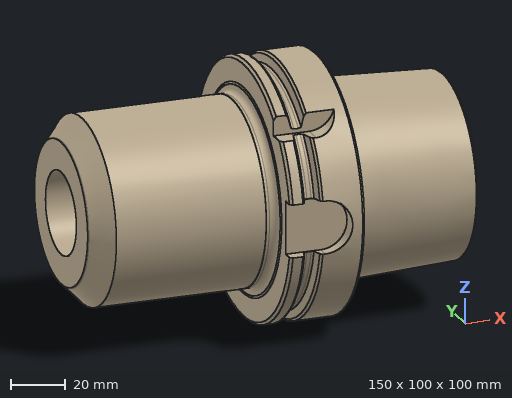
import cadquery as cq
import math

total_length = 150.0
body_radius = 36.0
nose_face_radius = 27.9
nose_cone_length = 8.1
nose_edge_chamfer = 0.3

neck_radius = 35.92
neck_start = 66.8
neck_fillet = 3.0
collar_radius = 40.0
collar_height = 0.3
collar_chamfer = 0.9

flange_radius = 100.0 / 2
flange_start = 71.2
flange_end = 100.2
flange_chamfer = 1.0

groove_center = 80.1
groove_floor_radius = 45.8
groove_floor_width = 1.6
groove_mid_radius = 46.0
groove_mid_width = 3.9
groove_lip_width = 6.0
groove_lip_chamfer = 0.9

taper_start_radius = 38.0
taper_end_radius = 35.5
taper_end_chamfer = 0.9

bore_diameter = 32.0
bore_depth = 75.0

slot_end = 95.2
slot_floor = 44.1
front_slot_width = 20.5
back_slot_width = 22.2
cutter_radius = 10.0
notch_offset = 31.5


def turned_body():
    collar_start = flange_start - collar_height
    fillet_center = (collar_start - neck_fillet, neck_radius + neck_fillet)
    fillet_middle = (
        fillet_center[0] + neck_fillet * math.sin(math.pi / 4),
        fillet_center[1] - neck_fillet * math.cos(math.pi / 4),
    )
    rim_radius = flange_radius - flange_chamfer
    taper_rim_radius = taper_end_radius - taper_end_chamfer
    profile = (
        cq.Workplane("XY")
        .moveTo(0, 0)
        .lineTo(0, nose_face_radius - nose_edge_chamfer)
        .lineTo(nose_edge_chamfer, nose_face_radius)
        .lineTo(nose_cone_length, body_radius)
        .lineTo(neck_start, body_radius)
        .lineTo(neck_start, neck_radius)
        .lineTo(fillet_center[0], neck_radius)
        .threePointArc(fillet_middle, (collar_start, fillet_center[1]))
        .lineTo(collar_start, collar_radius - collar_chamfer)
        .lineTo(flange_start, collar_radius)
        .lineTo(flange_start, rim_radius)
        .lineTo(flange_start + flange_chamfer, flange_radius)
        .lineTo(flange_end - flange_chamfer, flange_radius)
        .lineTo(flange_end, rim_radius)
        .lineTo(flange_end, taper_start_radius)
        .lineTo(total_length - taper_end_chamfer, taper_end_radius)
        .lineTo(total_length, taper_rim_radius)
        .lineTo(total_length, 0)
        .close()
    )
    return profile.revolve(360, (0, 0, 0), (1, 0, 0))


def gripper_groove():
    lip_radius = flange_radius - groove_lip_chamfer
    half_profile = [
        (groove_floor_width / 2, groove_floor_radius),
        (groove_mid_width / 2, groove_mid_radius),
        (groove_lip_width / 2, lip_radius),
        (groove_lip_width / 2 + groove_lip_chamfer, flange_radius),
    ]
    left_side = [(groove_center - x, r) for x, r in reversed(half_profile)]
    right_side = [(groove_center + x, r) for x, r in half_profile]
    profile = cq.Workplane("XY").polyline(left_side + right_side).close()
    return profile.revolve(360, (0, 0, 0), (1, 0, 0))


def front_drive_slot():
    """Slot on the -Y flank, ending in a full half circle."""
    end_radius = front_slot_width / 2
    profile = (
        cq.Workplane("XZ", origin=(0, -slot_floor, 0))
        .moveTo(flange_start, -end_radius)
        .lineTo(slot_end - end_radius, -end_radius)
        .threePointArc((slot_end, 0), (slot_end - end_radius, end_radius))
        .lineTo(flange_start, end_radius)
        .close()
    )
    return profile.extrude(flange_radius - slot_floor)


def back_drive_slot():
    """Slot on the +Y flank, with a short flat between its two end corners."""
    length = slot_end - flange_start
    depth = flange_radius - slot_floor
    block = cq.Workplane("XY").box(length, depth, back_slot_width)
    block = block.edges("|Y and >X").fillet(cutter_radius)
    return block.translate((flange_start + length / 2, slot_floor + depth / 2, 0))


def orientation_notch():
    """Corner notch on the -Y, +Z side, with its floor curving up at the end."""
    length = slot_end - flange_start
    size = flange_radius - notch_offset
    block = cq.Workplane("XY").box(length, size, size)
    block = block.edges("|Y and >X and <Z").fillet(cutter_radius)
    middle = notch_offset + size / 2
    return block.translate((flange_start + length / 2, -middle, middle))


bore = cq.Workplane("YZ").circle(bore_diameter / 2).extrude(bore_depth)

result = (
    turned_body()
    .cut(gripper_groove())
    .cut(front_drive_slot())
    .cut(back_drive_slot())
    .cut(orientation_notch())
    .cut(bore)
)